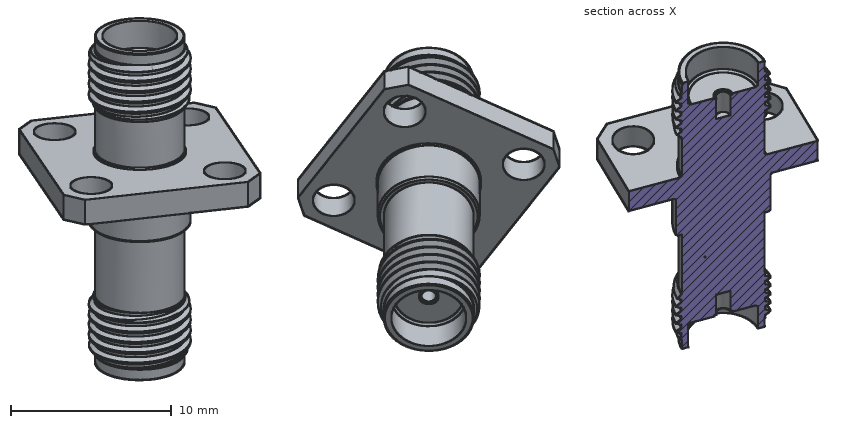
import cadquery as cq
import math

total_length = 22.23
top_z = total_length / 2
bottom_z = -total_length / 2
overlap = 0.1

flange_side = 12.7
flange_corner = 1.1
flange_top_z = 3.27
flange_thickness = 1.7
flange_bottom_z = flange_top_z - flange_thickness
hole_diameter = 2.6
hole_spacing = 8.63

barrel_radius = 2.8
end_chamfer = 0.07
root_cone_width = 0.1
root_cone_height = 0.11
collar_radius = 3.18
collar_length = 3.15
collar_chamfer = 0.13

thread_radius = 3.18
thread_root_radius = 2.82
thread_end_gap = 0.75
thread_length = 3.87
thread_turns = 5.5
thread_pitch = thread_length / thread_turns
thread_taper_length = 0.5
crest_width = 0.1
flank_half_angle = 30
upper_crest_z = 9.45
lower_crest_z = -8.31

bore_radius = 2.33
bore_depth = 1.85
dielectric_radius = 2.15
dielectric_step = 0.13
contact_radius = 0.6
contact_recess = 0.1
contact_hole_radius = 0.47
contact_hole_depth = 1.78


def cylinder(radius, low_z, high_z):
    return cq.Workplane("XY").workplane(offset=low_z).circle(radius).extrude(high_z - low_z)


def revolve_profile(points):
    return cq.Workplane("XZ").polyline(points).close().revolve(360, (0, 0, 0), (0, 1, 0))


def flange():
    plate = (
        cq.Workplane("XY")
        .workplane(offset=flange_bottom_z)
        .rect(flange_side, flange_side)
        .extrude(flange_thickness)
        .edges("|Z")
        .chamfer(flange_corner)
    )
    return (
        plate.faces(">Z")
        .workplane()
        .rect(hole_spacing, hole_spacing, forConstruction=True)
        .vertices()
        .hole(hole_diameter)
    )


def barrel():
    return cylinder(barrel_radius, bottom_z, top_z).edges("%CIRCLE").chamfer(end_chamfer)


def root_cone(neck_radius, flange_z, outward):
    """Conical transition from a flange face; outward is +1 above the flange and -1 below it."""
    cone_end_z = flange_z + outward * root_cone_height
    return revolve_profile([
        (0, flange_z),
        (neck_radius + root_cone_width, flange_z),
        (neck_radius, cone_end_z),
        (0, cone_end_z),
    ])


def collar():
    low_z = flange_bottom_z - collar_length
    return cylinder(collar_radius, low_z, flange_bottom_z).faces("<Z").chamfer(collar_chamfer)


def thread_envelope(low_z, high_z):
    """Tapered limits of a thread; they run past the crests so that only the tapers trim the ridge."""
    taper_slope = thread_taper_length / (thread_radius - thread_root_radius)
    outer_radius = thread_radius + overlap
    taper_length = taper_slope * (outer_radius - thread_root_radius)
    return revolve_profile([
        (0, low_z),
        (thread_root_radius, low_z),
        (outer_radius, low_z + taper_length),
        (outer_radius, high_z - taper_length),
        (thread_root_radius, high_z),
        (0, high_z),
    ])


def thread(low_z, crest_z):
    """Right-hand thread with a crest at crest_z on +X, tapering to its root at both ends."""
    high_z = low_z + thread_length
    inner_radius = thread_root_radius - overlap
    turns_below = math.ceil((crest_z - low_z) / thread_pitch) + 1
    start_z = crest_z - turns_below * thread_pitch
    turns = math.ceil((high_z - start_z) / thread_pitch) + 1
    half_crest = crest_width / 2
    half_base = half_crest + (thread_radius - inner_radius) * math.tan(math.radians(flank_half_angle))

    path = cq.Wire.makeHelix(thread_pitch, turns * thread_pitch, inner_radius, cq.Vector(0, 0, start_z))
    ridge = (
        cq.Workplane("XZ")
        .polyline([
            (inner_radius, start_z - half_base),
            (thread_radius, start_z - half_crest),
            (thread_radius, start_z + half_crest),
            (inner_radius, start_z + half_base),
        ])
        .close()
        .sweep(cq.Workplane(obj=path), isFrenet=True)
    )
    root = cylinder(thread_root_radius, low_z, high_z)
    return root.union(ridge.intersect(thread_envelope(low_z, high_z)))


def socket(face_z, inward):
    """Cutter for one end; inward is -1 from the upper face and +1 from the lower face."""
    step_z = face_z + inward * bore_depth
    floor_z = step_z + inward * dielectric_step
    contact_z = floor_z + inward * contact_recess
    hole_end_z = floor_z + inward * contact_hole_depth
    return revolve_profile([
        (0, face_z),
        (bore_radius, face_z),
        (bore_radius, step_z),
        (dielectric_radius, floor_z),
        (contact_radius, floor_z),
        (contact_radius, contact_z),
        (contact_hole_radius, contact_z),
        (contact_hole_radius, hole_end_z),
        (0, hole_end_z),
    ])


upper_thread_low_z = top_z - thread_end_gap - thread_length
lower_thread_low_z = bottom_z + thread_end_gap

result = (
    barrel()
    .union(flange())
    .union(collar())
    .union(root_cone(barrel_radius, flange_top_z, 1))
    .union(root_cone(collar_radius, flange_bottom_z, -1))
    .union(thread(upper_thread_low_z, upper_crest_z))
    .union(thread(lower_thread_low_z, lower_crest_z))
    .cut(socket(top_z, -1))
    .cut(socket(bottom_z, 1))
)